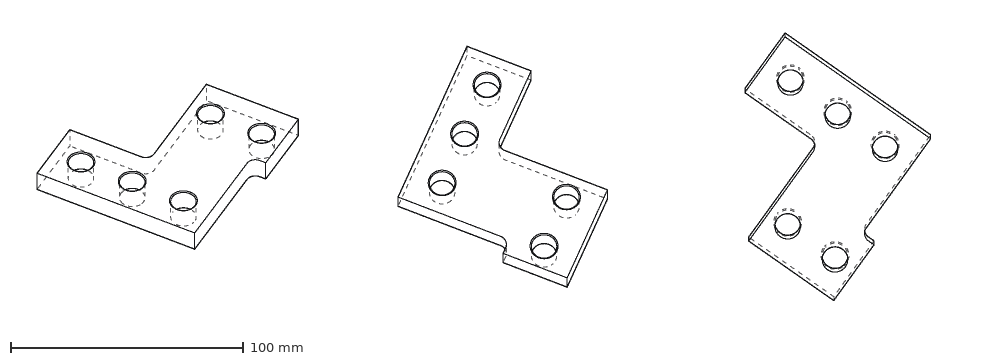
import cadquery as cq

length = 84.0
depth = 82.0
thickness = 10.0

arm_depth = 30.0
front_arm_length = 77.0
back_arm_left = 39.0
corner_radius = 4.0

hole_pitch = 25.0
hole_diameter = 11.0
hole_chamfer = 0.5
front_hole_count = 3
back_hole_count = 2


def hole_row(center_x, center_y, count):
    """Centres of a row of holes spread evenly about a point along X."""
    first_x = center_x - hole_pitch * (count - 1) / 2
    return [(first_x + i * hole_pitch, center_y) for i in range(count)]


def make_plate():
    """Stepped plate with rounded inner corners."""
    back_arm_front = depth - arm_depth
    inner_corners = [(back_arm_left, arm_depth), (front_arm_length, back_arm_front)]
    plate = (
        cq.Workplane("XY")
        .lineTo(front_arm_length, 0)
        .lineTo(front_arm_length, back_arm_front)
        .lineTo(length, back_arm_front)
        .lineTo(length, depth)
        .lineTo(back_arm_left, depth)
        .lineTo(back_arm_left, arm_depth)
        .lineTo(0, arm_depth)
        .close()
        .extrude(thickness)
    )
    for x, y in inner_corners:
        corner_edge = cq.selectors.NearestToPointSelector((x, y, thickness / 2))
        plate = plate.edges("|Z").edges(corner_edge).fillet(corner_radius)
    return plate


def cut_holes(plate):
    """Through holes with a small chamfer at the top face."""
    front_row = hole_row(front_arm_length / 2, arm_depth / 2, front_hole_count)
    back_row = hole_row((back_arm_left + length) / 2, depth - arm_depth / 2, back_hole_count)
    return (
        plate.faces(">Z")
        .workplane(origin=(0, 0, thickness))
        .pushPoints(front_row + back_row)
        .cskHole(hole_diameter, hole_diameter + 2 * hole_chamfer, 90)
    )


result = cut_holes(make_plate())